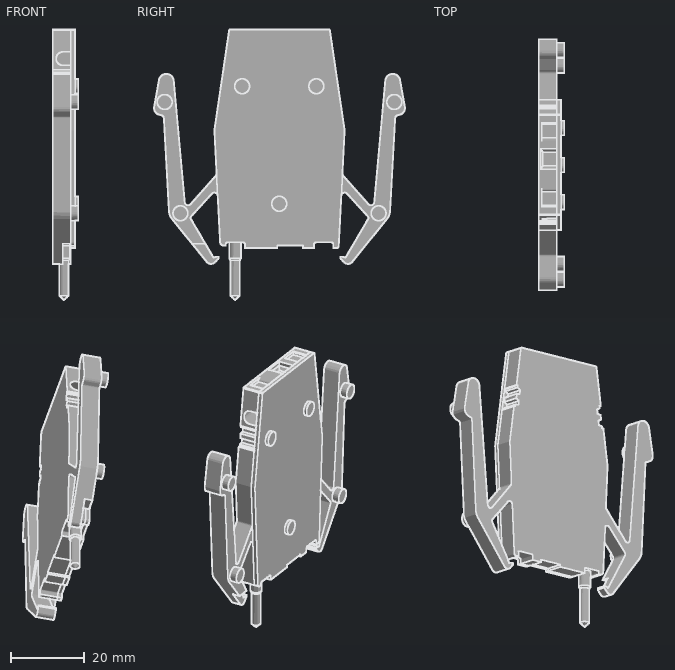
import cadquery as cq
import math

housing_thick = 4.9
cover_thick = 1.2
boss_face = 7.0
cover_face = housing_thick + cover_thick

top_z = 73.5
top_half = 13.7
shoulder_half = 17.7
shoulder_z = 46.1
side_lean = 0.051
notch_top_z = 15.65
foot_z = 14.1
raised_foot_z = 14.8
notch_outer = 14.55
notch_inner = 9.4
recess_y = (-0.6, 6.3)
foot_round = 0.65
raised_foot_round = 1.1
notch_round = 0.45
top_chamfer = 0.2

brace_top_z = 34.0
brace_bottom_z = 30.4
brace_root_depth = 2.2
crook = (25.5, 24.55)
tip_center = (30.7, 59.4)
tip_radius = 2.05
tip_inner_angle = 5.0
tip_outer_angle = 10.0
grip_corner = (34.36, 50.8)
grip_underside = (31.45, 50.0)
elbow = (30.0, 23.0)
hook_bottom = (18.7, 9.05)
claw_tip_y = 16.5
claw_tip_z = (11.4, 11.8)
claw_back_y = 17.05
claw_valley = (17.9, 11.6)
leg_root = (24.25, 22.4)
brace_round = 0.9
brace_top_round = 0.7
leg_round = 0.65
grip_round = 1.9
grip_underside_round = 0.7
elbow_round = 3.8
hook_round = 1.5
latch_cut_x = 2.755
latch_cut_z = 15.35

boss_diameter = 4.05
latch_bosses = [(31.2, 53.8), (26.9, 23.6)]
cover_bosses = [(10.0, 58.1), (-10.15, 58.1), (-0.1, 26.2)]

relief_depth = 0.48
relief_z = (56.45, 62.55)
groove_depth = 1.0
groove_top_z = 61.9
groove_height = 1.85
groove_pitch = 3.125
groove_floor_drops = (0.6, 1.7)

slot_height = 3.7
slot_z = 65.55
slot_left_x = 0.95
slot_end_y = -9.55
window_x = 0.9
window_y = (6.55, 11.4)
window_depth = 0.9
window_round = 0.7
window_chamfer = 0.2
window_wall_lean = 0.15
hopper_x = 0.5
hopper_floor_x = 1.2
hopper_y = (-1.21, 4.3)
hopper_floor_y = (-0.26, 3.45)
hopper_straight_depth = 1.25
hopper_taper_depth = 0.95

pin_center = (3.05, -12.05)
collar_diameter = 3.2
pin_diameter = 2.6
collar_bottom_z = 11.4
collar_taper_height = 0.6
pin_point_height = 1.21


def side_half(z):
    """Half width of the slab at height z."""
    if z > shoulder_z:
        return top_half + (shoulder_half - top_half) * (top_z - z) / (top_z - shoulder_z)
    return shoulder_half - side_lean * (shoulder_z - z)


def extrude_x(sketch, x_start, x_end):
    return sketch.extrude(x_end - x_start).translate((x_start, 0, 0))


def round_at(body, y, z, radius):
    """Fillet the X-running edge that passes through (y, z)."""
    near = 0.04
    box = cq.selectors.BoxSelector((-0.7, y - near, z - near), (boss_face, y + near, z + near))
    return body.edges("|X").edges(box).fillet(radius)


def slab(x_start, x_end):
    """Plate with the common outline of housing and cover, feet and notches included."""
    outline = [
        (top_half, top_z),
        (-top_half, top_z),
        (-shoulder_half, shoulder_z),
        (-side_half(raised_foot_z), raised_foot_z),
        (-notch_outer, raised_foot_z),
        (-notch_outer, notch_top_z),
        (-notch_inner, notch_top_z),
        (-notch_inner, foot_z),
        (recess_y[0], foot_z),
        (recess_y[0], raised_foot_z),
        (recess_y[1], raised_foot_z),
        (recess_y[1], foot_z),
        (notch_inner, foot_z),
        (notch_inner, notch_top_z),
        (notch_outer, notch_top_z),
        (notch_outer, foot_z),
        (side_half(foot_z), foot_z),
        (shoulder_half, shoulder_z),
    ]
    plate = extrude_x(cq.Workplane("YZ").polyline(outline).close(), x_start, x_end)
    plate = round_at(plate, side_half(foot_z), foot_z, foot_round)
    plate = round_at(plate, -side_half(raised_foot_z), raised_foot_z, raised_foot_round)
    for side in (1, -1):
        for notch_edge in (notch_inner, notch_outer):
            plate = round_at(plate, side * notch_edge, notch_top_z, notch_round)
    return plate.faces(">Z").edges("|X").chamfer(top_chamfer)


def on_tip(angle):
    """Point on the rounded end of the arm, at an angle in degrees from +Y."""
    turn = math.radians(angle)
    return (tip_center[0] + tip_radius * math.cos(turn), tip_center[1] + tip_radius * math.sin(turn))


def latch():
    """Spring latch on the +Y side: brace, arm with grip, and leg with hook."""
    brace_top = (side_half(brace_top_z), brace_top_z)
    brace_bottom = (side_half(brace_bottom_z), brace_bottom_z)
    wall_top = (side_half(brace_top_z + brace_root_depth), brace_top_z + brace_root_depth)
    wall_bottom = (side_half(brace_bottom_z - brace_root_depth), brace_bottom_z - brace_root_depth)
    profile = (
        cq.Workplane("YZ")
        .moveTo(wall_top[0] - brace_root_depth, wall_top[1])
        .lineTo(*wall_top)
        .lineTo(*brace_top)
        .lineTo(*crook)
        .lineTo(*on_tip(180 - tip_inner_angle))
        .threePointArc(on_tip(90), on_tip(tip_outer_angle))
        .lineTo(*grip_corner)
        .lineTo(*grip_underside)
        .lineTo(*elbow)
        .lineTo(*hook_bottom)
        .lineTo(claw_tip_y, claw_tip_z[0])
        .lineTo(claw_tip_y, claw_tip_z[1])
        .lineTo(claw_back_y, claw_tip_z[1])
        .lineTo(*claw_valley)
        .lineTo(*leg_root)
        .lineTo(*brace_bottom)
        .lineTo(*wall_bottom)
        .lineTo(wall_bottom[0] - brace_root_depth, wall_bottom[1])
        .close()
    )
    body = extrude_x(profile, 0, housing_thick)
    rounds = [
        (brace_top, brace_top_round),
        (crook, brace_round),
        (grip_corner, grip_round),
        (grip_underside, grip_underside_round),
        (elbow, elbow_round),
        (hook_bottom, hook_round),
        (leg_root, leg_round),
        (brace_bottom, brace_round),
    ]
    for corner, radius in rounds:
        body = round_at(body, *corner, radius)
    bosses = cq.Workplane("YZ").pushPoints(latch_bosses).circle(boss_diameter / 2)
    return body.union(extrude_x(bosses, 0, boss_face))


def cut_back_latch():
    """The -Y latch, whose hook is narrowed to clear the pin."""
    clearance = cq.Workplane("XY").box(
        boss_face, elbow[0], latch_cut_z, centered=False
    ).translate((latch_cut_x, -elbow[0], 0))
    return latch().mirror("XZ").cut(clearance)


def grip_grooves():
    """Shallow relief with two grooves in the slanted +Y side, as a cutting body."""
    outside = shoulder_half
    low, high = relief_z
    relief = [
        (side_half(high) - relief_depth, high),
        (outside, high),
        (outside, low),
        (side_half(low) - relief_depth, low),
    ]
    cutter = extrude_x(cq.Workplane("YZ").polyline(relief).close(), 0, housing_thick)
    for index in range(2):
        start_z = groove_top_z - index * groove_pitch
        end_z = start_z - groove_height
        floor = [start_z - drop for drop in groove_floor_drops]
        groove = [
            (side_half(start_z), start_z),
            (side_half(start_z) - relief_depth, start_z),
            *[(side_half(z) - relief_depth - groove_depth, z) for z in floor],
            (side_half(end_z) - relief_depth, end_z),
            (side_half(end_z), end_z),
        ]
        cutter = cutter.union(
            extrude_x(cq.Workplane("YZ").polyline(groove).close(), 0, housing_thick)
        )
    return cutter


def screwdriver_slot():
    """Round-ended slot in the -Y side, open toward the cover."""
    radius = slot_height / 2
    center_x = slot_left_x + radius
    length = shoulder_half + slot_end_y
    profile = (
        cq.Workplane("XZ", origin=(0, slot_end_y, 0))
        .moveTo(housing_thick, slot_z + radius)
        .lineTo(center_x, slot_z + radius)
        .threePointArc((slot_left_x, slot_z), (center_x, slot_z - radius))
        .lineTo(housing_thick, slot_z - radius)
        .close()
    )
    return profile.extrude(length)


def clamp_window():
    """Shallow top pocket on the +Y half, rounded at its inner end and chamfered at its outer end."""
    inner, outer = window_y
    floor_z = top_z - window_depth
    floor_inner = inner + window_round
    wall_outer = outer - window_chamfer
    diagonal = window_round * math.sqrt(0.5)
    round_middle = (inner + diagonal, top_z - window_round + diagonal)
    profile = (
        cq.Workplane("YZ")
        .moveTo(inner, top_z)
        .threePointArc(round_middle, (floor_inner, top_z - window_round))
        .lineTo(floor_inner, floor_z)
        .lineTo(wall_outer - window_wall_lean, floor_z)
        .lineTo(wall_outer, top_z - window_chamfer)
        .lineTo(outer, top_z)
        .close()
    )
    return extrude_x(profile, window_x, housing_thick)


def hopper_section(plane, x, y):
    """Rectangle from x to the cover, between the two y values."""
    return (
        plane.moveTo(x, y[0])
        .lineTo(housing_thick, y[0])
        .lineTo(housing_thick, y[1])
        .lineTo(x, y[1])
        .close()
    )


def hopper():
    """Middle top pocket: straight walls, then walls tapering to the floor."""
    taper_top = cq.Workplane("XY", origin=(0, 0, top_z - hopper_straight_depth))
    straight = hopper_section(taper_top, hopper_x, hopper_y).extrude(hopper_straight_depth)
    rim = hopper_section(taper_top, hopper_x, hopper_y)
    floor_plane = rim.workplane(offset=-hopper_taper_depth, origin=(0, 0, 0))
    tapered = hopper_section(floor_plane, hopper_floor_x, hopper_floor_y).loft(ruled=True)
    return straight.union(tapered)


def make_housing():
    grooves = grip_grooves()
    window = clamp_window()
    body = slab(0, housing_thick).union(latch()).union(cut_back_latch())
    for cutter in (grooves, grooves.mirror("XZ"), window, window.mirror("XZ")):
        body = body.cut(cutter)
    return body.cut(hopper()).cut(screwdriver_slot())


def make_cover():
    bosses = cq.Workplane("YZ").pushPoints(cover_bosses).circle(boss_diameter / 2)
    return slab(housing_thick, cover_face).union(extrude_x(bosses, housing_thick, boss_face))


def make_pin():
    """Turned pin hanging from the ceiling of the -Y notch."""
    pin_radius = pin_diameter / 2
    collar_radius = collar_diameter / 2
    half_profile = [
        (0, 0),
        (pin_radius, pin_point_height),
        (pin_radius, collar_bottom_z - collar_taper_height),
        (collar_radius, collar_bottom_z),
        (collar_radius, notch_top_z),
        (0, notch_top_z),
    ]
    pin = cq.Workplane("XZ").polyline(half_profile).close().revolve(360, (0, 0, 0), (0, 1, 0))
    return pin.translate((*pin_center, 0))


housing = make_housing()
cover = make_cover()
pin = make_pin()
result = cq.Compound.makeCompound([housing.val(), cover.val(), pin.val()])